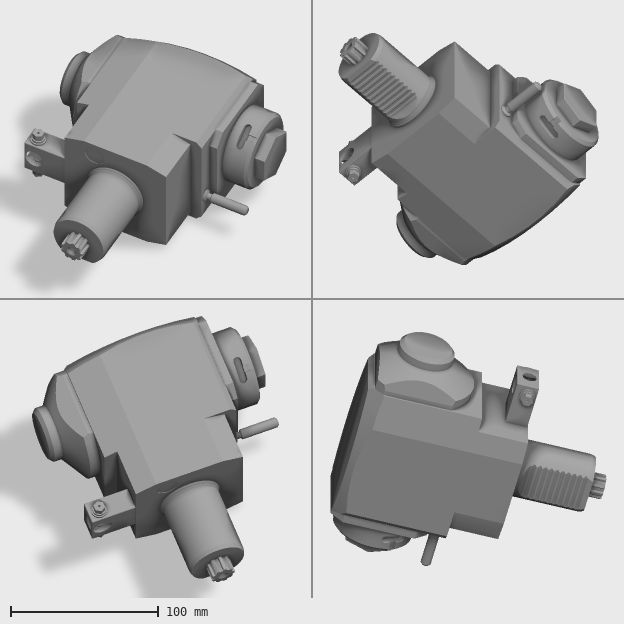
import cadquery as cq
import math


OVERALL_LENGTH = 177.0
SLOPE = math.tan(math.radians(15))
HALF_HEIGHT = 37.5
FLAT_HALF_WIDTH = 24.0
BASE_HALF_WIDTH = 39.0
BASE_DEPTH = 34.7
HOUSING_LEFT = -48.1
HOUSING_RIGHT = 47.6
HOUSING_BACK = 113.6
RIGHT_CHAMFER = 4.0
LEFT_BACK_CHAMFER = 3.2
CROWN_X = 10.1
CROWN_Z = -94.2
CROWN_RADIUS = 127.5

SPINDLE_Y = 80.0
COVER_BACK = 109.7
COVER_HALF_HEIGHT = 29.5
COVER_SLOPE_START = -51.5
COVER_RADIUS = 37.9
COVER_SHOULDER = -55.4
HUB_RADIUS = 19.3
HUB_START = -68.3
HUB_END = -76.6
HUB_CHAMFER = 2.7

FLANGE_HALF_WIDTH = 33.6
FLANGE_CORNER = 8.5
FLANGE_END = 53.3
NUT_RADIUS = 27.6
NUT_START = 54.0
NUT_END = 72.5
NUT_CHAMFER = 2.1
NUT_NECK_RADIUS = 26.5
NUT_SLOT_X = 63.0
NUT_SLOT_WIDTH = 5.5
NUT_SLOT_LENGTH = 18.4
NUT_SLOT_FLOOR = 22.1
NUT_KEYWAY_WIDTH = 4.6
NUT_KEYWAY_FLOOR = 25.5
NUT_SLOT_COUNT = 3
NUT_SLOT_ANGLE = 30.0
HEX_FLATS = 32.0
HEX_END = 80.4
HEX_CHAMFER = 0.4

PIN_Y = 40.2
PIN_Z = -17.5
PIN_RADIUS = 3.5
PIN_START = 53.3
PIN_END = 79.8
PIN_CHAMFER = 1.2
PIN_NECK_RADIUS = 2.3
PIN_NECK_START = 49.7
PIN_BASE_RADIUS = 4.2
PIN_CONE = 0.9

SHANK_RADIUS = 20.0
SHANK_END = -53.1
SHANK_END_RADIUS = 19.1
SHANK_END_TAPER = 3.0
COLLAR_FACE_RADIUS = 21.2
COLLAR_RADIUS = 21.6
COLLAR_CREST = -0.9
COLLAR_WAIST_RADIUS = 20.9
COLLAR_WAIST = -2.0
COLLAR_END = -3.7
RACK_Z = -15.8
RACK_START = -8.8
RACK_FIRST_VALLEY = -11.7
RACK_LAST_VALLEY = -47.8
RACK_VALLEY_COUNT = 10
RACK_PITCH = (RACK_FIRST_VALLEY - RACK_LAST_VALLEY) / (RACK_VALLEY_COUNT - 1)
RACK_DEPTH = 0.9
RACK_VALLEY_TOP = 2.8
RACK_VALLEY_FLOOR = 1.2

SPLINE_RADIUS = 8.5
SPLINE_END = HOUSING_BACK - OVERALL_LENGTH
SPLINE_TEETH = 9
SPLINE_ROOT = 6.9
GULLET_FLOOR = 2.1
GULLET_MOUTH = 4.0
SPLINE_CHAMFER = 0.5
SPLINE_HOLE_RADIUS = 2.5
SPLINE_SINK_RADIUS = 3.5
SPLINE_HOLE_DEPTH = 7.0

PLUG_X = -16.0
PLUG_Z = 27.8
PLUG_RADIUS = 7.6
PLUG_RECESS = 0.4

COOLANT_LEFT = -70.5
COOLANT_FRONT = 0.5
COOLANT_BACK = 16.0
COOLANT_HALF_HEIGHT = 12.4
COOLANT_CHAMFER = 0.4
CROSS_HOLE_X = -62.8
CROSS_HOLE_RADIUS = 6.5
INLET_Y = 7.3
INLET_RADIUS = 5.0
INLET_END = -49.5
CHANNEL_RADIUS = 1.6
CHANNEL_LENGTH = 3.5
SCREW_Y = 6.9
WASHER_RADIUS = 5.3
WASHER_HEIGHT = 1.5
SCREW_COLLAR_RADIUS = 4.5
SCREW_COLLAR_TOP = 15.4
SCREW_HEX_FLATS = 6.9
SCREW_TOP = 19.8
SCREW_SOCKET_RADIUS = 0.9
SCREW_SOCKET_DEPTH = 1.8
SCREW_TIP_RADIUS = 2.5
SCREW_TIP = 5.7


def prism_y(points, start, end):
    """Extrude an XZ outline along Y from start to end."""
    return cq.Workplane("XZ", origin=(0, start, 0)).polyline(points).close().extrude(start - end)


def cylinder_y(x, z, radius, start, end):
    return cq.Workplane("XZ", origin=(x, start, z)).circle(radius).extrude(start - end)


def cylinder_x(y, z, radius, start, end):
    return cq.Workplane("YZ", origin=(start, y, z)).circle(radius).extrude(end - start)


def turned_x(profile, y, z):
    """Revolve (x, radius) points about an axis parallel to X."""
    points = [(x, y + radius) for x, radius in profile]
    plane = cq.Workplane("XY", origin=(0, 0, z))
    return plane.polyline(points).close().revolve(360, (0, y, 0), (1, y, 0))


def taper_height(x):
    """Half height of the tapered housing side at a given x."""
    return HALF_HEIGHT - SLOPE * (abs(x) - FLAT_HALF_WIDTH)


def mirrored_outline(upper):
    """Close an upper outline with its mirror image below z = 0."""
    return upper + [(x, -z) for x, z in reversed(upper)]


def make_base():
    upper = [
        (-BASE_HALF_WIDTH, taper_height(BASE_HALF_WIDTH)),
        (-FLAT_HALF_WIDTH, HALF_HEIGHT),
        (FLAT_HALF_WIDTH, HALF_HEIGHT),
        (BASE_HALF_WIDTH, taper_height(BASE_HALF_WIDTH)),
    ]
    return prism_y(mirrored_outline(upper), 0, BASE_DEPTH)


def make_housing():
    upper = [
        (HOUSING_LEFT, taper_height(HOUSING_LEFT)),
        (-FLAT_HALF_WIDTH, HALF_HEIGHT),
        (HOUSING_RIGHT - RIGHT_CHAMFER, HALF_HEIGHT),
        (HOUSING_RIGHT, HALF_HEIGHT - RIGHT_CHAMFER),
    ]
    block = prism_y(mirrored_outline(upper), BASE_DEPTH, HOUSING_BACK)
    return block.faces("<X").edges(">Y").chamfer(LEFT_BACK_CHAMFER)


def make_cover():
    """Conical cover on the left side, trimmed by the sloping top and bottom and a flat back."""
    cone = turned_x(
        [
            (HUB_START, 0),
            (HUB_START, HUB_RADIUS),
            (COVER_SHOULDER, COVER_RADIUS),
            (HOUSING_LEFT, COVER_RADIUS),
            (HOUSING_LEFT, 0),
        ],
        SPINDLE_Y, 0,
    )
    upper = [
        (HUB_START, COVER_HALF_HEIGHT - SLOPE * (COVER_SLOPE_START - HUB_START)),
        (COVER_SLOPE_START, COVER_HALF_HEIGHT),
        (HOUSING_LEFT, COVER_HALF_HEIGHT),
    ]
    return cone.intersect(prism_y(mirrored_outline(upper), 0, COVER_BACK))


def make_crown_cone(sign):
    """45 degree cone that bevels the back edge at the top (+1) or bottom (-1)."""
    front_radius = CROWN_RADIUS + HOUSING_BACK
    profile = cq.Workplane("XY", origin=(CROWN_X, 0, sign * CROWN_Z)).polyline(
        [(0, 0), (front_radius, 0), (CROWN_RADIUS, HOUSING_BACK), (0, HOUSING_BACK)]
    )
    return profile.close().revolve(360, (0, 0, 0), (0, 1, 0))


def make_hub():
    hub = cylinder_x(SPINDLE_Y, 0, HUB_RADIUS, HUB_START, HUB_END)
    return hub.faces("<X").chamfer(HUB_CHAMFER)


def make_flange():
    width = 2 * FLANGE_HALF_WIDTH
    plane = cq.Workplane("YZ", origin=(HOUSING_RIGHT, SPINDLE_Y, 0))
    return plane.rect(width, width).extrude(FLANGE_END - HOUSING_RIGHT).edges("|X").chamfer(FLANGE_CORNER)


def make_nut_slot(angle):
    """Tangential spanner slot with a keyway running out to the nut's front face."""
    plane = cq.Workplane("XY", origin=(0, SPINDLE_Y, NUT_SLOT_FLOOR))
    slot = plane.center(NUT_SLOT_X, 0).slot2D(NUT_SLOT_LENGTH, NUT_SLOT_WIDTH, 90).extrude(NUT_RADIUS)
    keyway = cq.Workplane("XY").box(
        NUT_END - NUT_SLOT_X, NUT_KEYWAY_WIDTH, NUT_RADIUS, centered=(False, True, False)
    ).translate((NUT_SLOT_X, SPINDLE_Y, NUT_KEYWAY_FLOOR))
    return slot.union(keyway).rotate((0, SPINDLE_Y, 0), (1, SPINDLE_Y, 0), angle)


def make_nut():
    nut = cylinder_x(SPINDLE_Y, 0, NUT_RADIUS, NUT_START, NUT_END).faces(">X").chamfer(NUT_CHAMFER)
    for index in range(NUT_SLOT_COUNT):
        nut = nut.cut(make_nut_slot(NUT_SLOT_ANGLE + index * 360 / NUT_SLOT_COUNT))
    return nut.union(cylinder_x(SPINDLE_Y, 0, NUT_NECK_RADIUS, FLANGE_END, NUT_START))


def make_hex_end():
    corners = HEX_FLATS / math.cos(math.pi / 6)
    plane = cq.Workplane("YZ", origin=(NUT_END, SPINDLE_Y, 0)).transformed(rotate=(0, 0, 90))
    return plane.polygon(6, corners).extrude(HEX_END - NUT_END).faces(">X").chamfer(HEX_CHAMFER)


def make_pin():
    return turned_x(
        [
            (HOUSING_RIGHT, 0),
            (HOUSING_RIGHT, PIN_BASE_RADIUS),
            (PIN_NECK_START - PIN_CONE, PIN_BASE_RADIUS),
            (PIN_NECK_START, PIN_NECK_RADIUS),
            (PIN_START - PIN_CONE, PIN_NECK_RADIUS),
            (PIN_START, PIN_RADIUS),
            (PIN_END - PIN_CHAMFER, PIN_RADIUS),
            (PIN_END, PIN_RADIUS - PIN_CHAMFER),
            (PIN_END, 0),
        ],
        PIN_Y, PIN_Z,
    )


def make_rack_cut():
    """Flat along the underside of the shank, with its ramp and the valleys between the teeth."""
    flat_depth = SHANK_RADIUS + RACK_Z
    flat = [(SHANK_END, RACK_Z), (RACK_START, RACK_Z)]
    below = [(RACK_START + flat_depth, -SHANK_RADIUS), (SHANK_END, -SHANK_RADIUS)]
    width = 2 * SHANK_RADIUS
    plane = cq.Workplane("YZ", origin=(-SHANK_RADIUS, 0, 0))
    cut = plane.polyline(flat + below).close().extrude(width)
    for index in range(RACK_VALLEY_COUNT):
        y = RACK_FIRST_VALLEY - index * RACK_PITCH
        valley = [
            (y - RACK_VALLEY_TOP / 2, RACK_Z),
            (y - RACK_VALLEY_FLOOR / 2, RACK_Z + RACK_DEPTH),
            (y + RACK_VALLEY_FLOOR / 2, RACK_Z + RACK_DEPTH),
            (y + RACK_VALLEY_TOP / 2, RACK_Z),
        ]
        cut = cut.union(plane.polyline(valley).close().extrude(width))
    return cut


def make_shank():
    profile = [
        (0, 0),
        (SHANK_RADIUS, 0),
        (SHANK_RADIUS, SHANK_END + SHANK_END_TAPER),
        (SHANK_END_RADIUS, SHANK_END),
        (0, SHANK_END),
    ]
    shank = cq.Workplane("XY").polyline(profile).close().revolve(360, (0, 0, 0), (0, 1, 0))
    collar = (
        cq.Workplane("XY")
        .lineTo(COLLAR_FACE_RADIUS, 0)
        .threePointArc((COLLAR_RADIUS, COLLAR_CREST), (COLLAR_WAIST_RADIUS, COLLAR_WAIST))
        .lineTo(SHANK_RADIUS, COLLAR_END)
        .lineTo(0, COLLAR_END)
        .close()
        .revolve(360, (0, 0, 0), (0, 1, 0))
    )
    return shank.cut(make_rack_cut()).union(collar)


def make_spline():
    spline = cylinder_y(0, 0, SPLINE_RADIUS, SHANK_END, SPLINE_END).faces("<Y").chamfer(SPLINE_CHAMFER)
    gullet = prism_y(
        [
            (SPLINE_ROOT, -GULLET_FLOOR / 2),
            (SPLINE_RADIUS, -GULLET_MOUTH / 2),
            (SPLINE_RADIUS, GULLET_MOUTH / 2),
            (SPLINE_ROOT, GULLET_FLOOR / 2),
        ],
        SHANK_END, SPLINE_END,
    )
    for index in range(SPLINE_TEETH):
        angle = 360 * (index + 0.5) / SPLINE_TEETH
        spline = spline.cut(gullet.rotate((0, 0, 0), (0, 1, 0), angle))
    end_face = cq.Workplane("XZ", origin=(0, SPLINE_END, 0))
    hole = end_face.circle(SPLINE_HOLE_RADIUS).extrude(-SPLINE_HOLE_DEPTH)
    sink_depth = SPLINE_SINK_RADIUS - SPLINE_HOLE_RADIUS
    sink = end_face.circle(SPLINE_SINK_RADIUS).extrude(-sink_depth, taper=45)
    return spline.cut(hole).cut(sink)


def make_screw():
    """Hexagon plug screw on the top of the coolant block, reaching into the cross hole."""
    washer_top = COOLANT_HALF_HEIGHT + WASHER_HEIGHT
    base = cq.Workplane("XY", origin=(CROSS_HOLE_X, SCREW_Y, COOLANT_HALF_HEIGHT))
    washer = base.circle(WASHER_RADIUS).extrude(WASHER_HEIGHT)
    collar = base.circle(SCREW_COLLAR_RADIUS).extrude(SCREW_COLLAR_TOP - COOLANT_HALF_HEIGHT)
    corners = SCREW_HEX_FLATS / math.cos(math.pi / 6)
    head = base.workplane(offset=washer_top - COOLANT_HALF_HEIGHT).transformed(rotate=(0, 0, 90))
    head = head.polygon(6, corners).extrude(SCREW_TOP - washer_top)
    head = head.faces(">Z").workplane().hole(2 * SCREW_SOCKET_RADIUS, SCREW_SOCKET_DEPTH)
    tip = base.circle(SCREW_TIP_RADIUS).extrude(SCREW_TIP - COOLANT_HALF_HEIGHT)
    return washer.union(collar).union(head).union(tip)


def make_coolant_block():
    block = cq.Workplane("XY").box(
        -BASE_HALF_WIDTH - COOLANT_LEFT,
        COOLANT_BACK - COOLANT_FRONT,
        2 * COOLANT_HALF_HEIGHT,
        centered=(False, False, True),
    ).translate((COOLANT_LEFT, COOLANT_FRONT, 0))
    block = block.edges("|X or <X").chamfer(COOLANT_CHAMFER)
    block = block.cut(cylinder_y(CROSS_HOLE_X, 0, CROSS_HOLE_RADIUS, COOLANT_FRONT, COOLANT_BACK))
    block = block.cut(cylinder_x(INLET_Y, 0, INLET_RADIUS, COOLANT_LEFT, INLET_END))
    block = block.cut(cylinder_x(INLET_Y, 0, CHANNEL_RADIUS, INLET_END, INLET_END + CHANNEL_LENGTH))
    screw = make_screw()
    return block.union(screw).union(screw.mirror("XY"))


housing = make_base().union(make_housing())
for side in (1, -1):
    housing = housing.intersect(make_crown_cone(side))

body = housing.cut(cylinder_y(PLUG_X, PLUG_Z, PLUG_RADIUS, 0, PLUG_RECESS))

attachments = [
    make_cover(),
    make_hub(),
    make_flange(),
    make_nut(),
    make_hex_end(),
    make_pin(),
    make_shank(),
    make_spline(),
    make_coolant_block(),
]
for attachment in attachments:
    body = body.union(attachment)

result = body